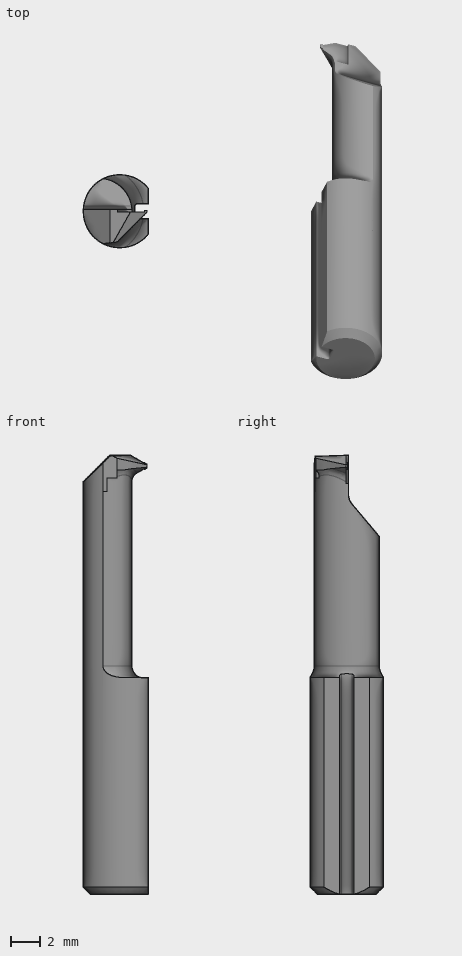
import cadquery as cq
import math


LENGTH = 30.0
SHANK_RADIUS = 2.5
FLAT_X = 1.95
END_CHAMFER = 0.5
SLOT_WIDTH = 1.0
SLOT_FLOOR_X = 1.03
SLOT_CORNER_RADIUS = 0.15

NECK_CENTER_X = -1.41
NECK_RADIUS = 2.24
SHOULDER_Z = 14.8
SHOULDER_FILLET = 0.8

RAKE_Y = 0.13
RELIEF_TOP_Z = 27.3
RUNOUT_ANGLE = 50.0
RUNOUT_FILLET = 1.0
BEVEL_TOP_X = -0.68
TOP_TILT = 2.0

FLANK_SLOPE = math.tan(math.radians(30))
UPPER_FLANK_START_X = 0.83
UPPER_CLEARANCE = 0.36
LOWER_CLEARANCE = 0.48
TIP_X = 1.87
TIP_WIDTH = 0.25
TIP_RAKE_Y = 0.05
TIP_LAND = 0.19
SIDE_ANGLE = 7.0
HOOK_ROOT_X = -0.2
HOOK_UNDERSIDE_Z = 28.43
HEEL_X = -0.88
HEEL_Z = 27.5

THROAT_FILLET = 0.6
THROAT_POINT = (0.5, -1.0, 28.8)

GROOVE_START_X = -0.15
GROOVE_FLOOR_Y = -0.05
GROOVE_BOTTOM_Z = 28.05

REACH = 4 * SHANK_RADIUS


def box(x0, x1, y0, y1, z0, z1):
    """Block between two opposite corners."""
    return cq.Workplane("XY").box(x1 - x0, y1 - y0, z1 - z0, centered=False).translate((x0, y0, z0))


def beyond(point, normal):
    """Large block filling the space on the normal side of a plane."""
    plane = cq.Plane(origin=point, normal=normal)
    return cq.Workplane(plane).rect(2 * REACH, 2 * REACH).extrude(REACH)


def make_shank():
    shank = cq.Workplane("XY").circle(SHANK_RADIUS).extrude(LENGTH)
    return shank.faces("<Z").chamfer(END_CHAMFER)


def make_neck_envelope():
    """Neck cylinder that flares through a fillet into an oversize disc below the shoulder."""
    fillet_top = SHOULDER_Z + SHOULDER_FILLET
    fillet_outer = NECK_RADIUS + SHOULDER_FILLET
    sag = SHOULDER_FILLET * (1 - math.sqrt(0.5))
    profile = (
        cq.Workplane("XZ")
        .lineTo(REACH, 0)
        .lineTo(REACH, SHOULDER_Z)
        .lineTo(fillet_outer, SHOULDER_Z)
        .threePointArc((NECK_RADIUS + sag, SHOULDER_Z + sag), (NECK_RADIUS, fillet_top))
        .lineTo(NECK_RADIUS, LENGTH)
        .lineTo(0, LENGTH)
        .close()
    )
    return profile.revolve(360, (0, 0, 0), (0, 1, 0)).translate((NECK_CENTER_X, 0, 0))


def make_coolant_slot():
    slot = box(SLOT_FLOOR_X, REACH, -SLOT_WIDTH / 2, SLOT_WIDTH / 2, 0, SHOULDER_Z + SHOULDER_FILLET)
    return slot.edges("|Z and <X").fillet(SLOT_CORNER_RADIUS)


def make_head_relief():
    """Space removed above the half-round head, ending in a filleted sloping run-out."""
    half_turn = math.radians(90 - RUNOUT_ANGLE) / 2
    corner_z = RELIEF_TOP_Z - RUNOUT_FILLET * math.tan(half_turn)
    drop = REACH * math.tan(math.radians(RUNOUT_ANGLE))
    relief = (
        cq.Workplane("YZ")
        .moveTo(RAKE_Y, LENGTH + REACH)
        .lineTo(RAKE_Y, corner_z)
        .lineTo(RAKE_Y + REACH, corner_z - drop)
        .lineTo(RAKE_Y + REACH, LENGTH + REACH)
        .close()
        .extrude(REACH, both=True)
    )
    corner = cq.selectors.NearestToPointSelector((0, RAKE_Y, corner_z))
    return relief.edges(corner).fillet(RUNOUT_FILLET)


def make_hook():
    """Material standing out from the neck: the heel, the hook body and the tooth."""
    neck_edge_x = (NECK_RADIUS**2 - SHANK_RADIUS**2 - NECK_CENTER_X**2) / (-2 * NECK_CENTER_X)
    neck_edge_y = -math.sqrt(SHANK_RADIUS**2 - neck_edge_x**2)

    heel = box(neck_edge_x, HEEL_X, -SHANK_RADIUS, RAKE_Y, HEEL_Z, LENGTH)
    root = box(HEEL_X, HOOK_ROOT_X, -SHANK_RADIUS, RAKE_Y, HOOK_UNDERSIDE_Z, LENGTH)
    tooth = box(HOOK_ROOT_X, TIP_X, -SHANK_RADIUS, TIP_RAKE_Y, HEEL_Z, LENGTH)

    tip_top_z = LENGTH - FLANK_SLOPE * (TIP_X - UPPER_FLANK_START_X)
    tip_bottom = (TIP_X, 0, tip_top_z - TIP_WIDTH)
    tooth = tooth.cut(beyond(tip_bottom, (FLANK_SLOPE, -LOWER_CLEARANCE, -1)))

    hook = heel.union(root).union(tooth)
    side = math.radians(SIDE_ANGLE)
    hook = hook.cut(beyond((neck_edge_x, neck_edge_y, LENGTH), (math.sin(side), -math.cos(side), 0)))
    return hook.cut(beyond((TIP_X, GROOVE_FLOOR_Y, LENGTH), (1, -1, 0)))


def fillet_throat(body):
    """Blend the lower flank into the neck."""
    throat = cq.selectors.NearestToPointSelector(THROAT_POINT)
    return body.edges(throat).fillet(THROAT_FILLET)


def make_chip_groove():
    return box(GROOVE_START_X, TIP_X - TIP_LAND, GROOVE_FLOOR_Y, RAKE_Y, GROOVE_BOTTOM_Z, LENGTH)


def trim_top(body):
    """Bevel the back of the head, tilt its top face and form the upper tooth flank."""
    fall = math.tan(math.radians(TOP_TILT))
    bevel_edge = (BEVEL_TOP_X, RAKE_Y, LENGTH)
    body = body.cut(beyond(bevel_edge, (-1, -fall, 1)))
    body = body.cut(beyond(bevel_edge, (0, -fall, 1)))
    flank_normal = (FLANK_SLOPE, -UPPER_CLEARANCE, 1)
    return body.cut(beyond((UPPER_FLANK_START_X, RAKE_Y, LENGTH), flank_normal))


body = make_shank().intersect(make_neck_envelope())
body = body.cut(box(FLAT_X, REACH, -REACH, REACH, 0, LENGTH))
body = body.cut(make_coolant_slot())
body = body.cut(make_head_relief())
body = body.union(make_hook())
body = fillet_throat(body)
body = body.cut(make_chip_groove())
result = trim_top(body)